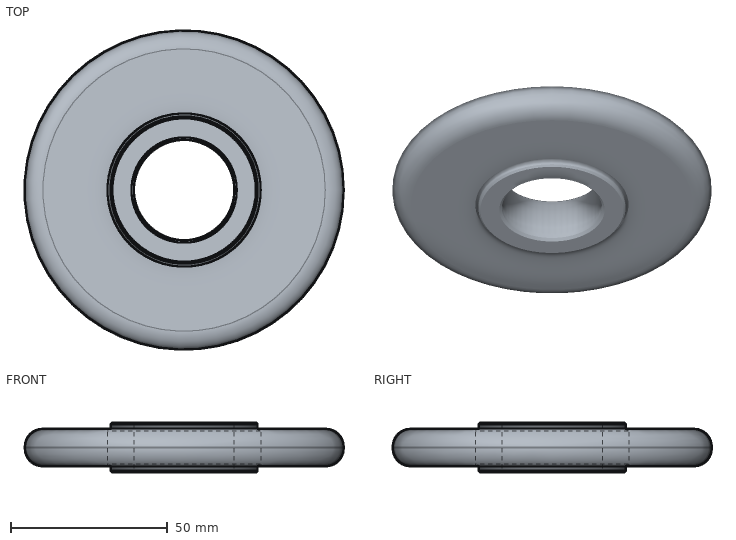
import cadquery as cq

wheel_diameter = 102.0
wheel_thickness = 12.0
rim_fillet = 5.9
seat_diameter = 49.0

neck_diameter = 47.0
hub_length = 16.0
neck_chamfer = 0.6
bore_diameter = 32.0
bore_chamfer = 0.8
collar_recess = 0.7

shoulder_fillet = (seat_diameter - neck_diameter) / 2
collar_length = wheel_thickness - 2 * collar_recess


def make_wheel():
    """Disc whose rim is two quarter-round fillets with a narrow land between them."""
    half_thickness = wheel_thickness / 2
    outer_radius = wheel_diameter / 2
    seat_radius = seat_diameter / 2
    flat_face_radius = outer_radius - rim_fillet
    half_land = half_thickness - rim_fillet
    section = (
        cq.Workplane("XZ")
        .moveTo(seat_radius, -half_thickness)
        .lineTo(flat_face_radius, -half_thickness)
        .radiusArc((outer_radius, -half_land), -rim_fillet)
        .lineTo(outer_radius, half_land)
        .radiusArc((flat_face_radius, half_thickness), -rim_fillet)
        .lineTo(seat_radius, half_thickness)
        .close()
    )
    return section.revolve(360, (0, 0, 0), (0, 1, 0))


def make_hub():
    """Sleeve with a middle collar, filleted shoulders and chamfered ends."""
    half_length = hub_length / 2
    half_collar = collar_length / 2
    bore_radius = bore_diameter / 2
    mouth_radius = bore_radius + bore_chamfer
    neck_radius = neck_diameter / 2
    end_radius = neck_radius - neck_chamfer
    collar_radius = seat_diameter / 2
    fillet_top = half_collar + shoulder_fillet
    section = (
        cq.Workplane("XZ")
        .moveTo(bore_radius, bore_chamfer - half_length)
        .lineTo(mouth_radius, -half_length)
        .lineTo(end_radius, -half_length)
        .lineTo(neck_radius, neck_chamfer - half_length)
        .lineTo(neck_radius, -fillet_top)
        .radiusArc((collar_radius, -half_collar), shoulder_fillet)
        .lineTo(collar_radius, half_collar)
        .radiusArc((neck_radius, fillet_top), shoulder_fillet)
        .lineTo(neck_radius, half_length - neck_chamfer)
        .lineTo(end_radius, half_length)
        .lineTo(mouth_radius, half_length)
        .lineTo(bore_radius, half_length - bore_chamfer)
        .close()
    )
    return section.revolve(360, (0, 0, 0), (0, 1, 0))


wheel = make_wheel()
hub = make_hub()
result = cq.Compound.makeCompound([wheel.val(), hub.val()])